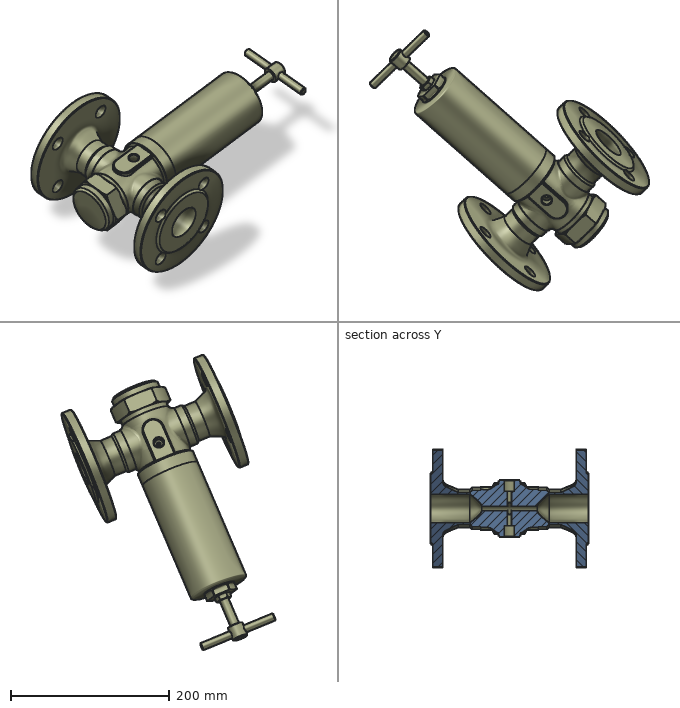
import cadquery as cq
import math


FACE_TO_FACE = 200.0
FLANGE_DIAMETER = 150.0
FLANGE_THICKNESS = 13.0
FLANGE_EDGE_CHAMFER = 1.0
RAISED_FACE_DIAMETER = 88.0
RAISED_FACE_HEIGHT = 3.0
BOLT_CIRCLE_DIAMETER = 110.0
BOLT_HOLE_DIAMETER = 18.0
BOLT_COUNT = 4
NECK_RADIUS = 24.15
HUB_START_X = 65.0
HUB_RADIUS = 32.2
HUB_FILLET = 6.4
PORT_RADIUS = 21.55
BORE_RADIUS = 12.5
BORE_TAPER_LENGTH = 15.0

BODY_HALF_LENGTH = 50.0
WELD_CHAMFER_LENGTH = 3.0
SPIGOT_RADIUS = 26.5
ARM_RADIUS = 27.2
ARM_HALF_LENGTH = 36.6
ARM_FILLET = 5.0
CASTING_ALLOWANCE = 15.0
BARREL_BOTTOM_Y = -30.5
BARREL_LOWER_RADIUS = 32.0
BARREL_TAPER_LOW_Y = -20.0
BARREL_TAPER_HIGH_Y = 13.0
BARREL_UPPER_RADIUS = 34.5
COLLAR_BOTTOM_Y = 34.0
COLLAR_TOP_Y = 49.5
COLLAR_RADIUS = 38.0
COLLAR_BLEND = 2.5

PAD_WIDTH = 28.0
PAD_FLAT_HEIGHT = 36.0
PAD_END_CENTER_Y = -5.5
PAD_EDGE_CHAMFER = 1.5
GAUGE_Y = 12.3
GAUGE_PORT_RADIUS = 6.0
GAUGE_PORT_DEPTH = 14.0
GAUGE_PORT_CHAMFER = 1.0
GAUGE_PILOT_RADIUS = 2.5

CAP_RADIUS = 31.5
CAP_HEX_TOP_Y = -37.0
CAP_HEX_BOTTOM_Y = -57.0
CAP_BOTTOM_Y = -68.0
CAP_HEX_ACROSS_FLATS = 65.0
CAP_HEX_FACE_RADIUS = 34.8
CAP_CHAMFER = 3.0

BONNET_RADIUS = COLLAR_RADIUS
BONNET_TOP_Y = 208.0
BONNET_FILLET = 2.5
BOSS_ACROSS_FLATS = 36.0
BOSS_RADIUS = 20.5
BOSS_TOP_Y = 217.9
BOSS_COLLAR_HEIGHT = 1.0
BOSS_FLAT_FILLET = 2.5

NUT_ACROSS_FLATS = 18.0
NUT_FACE_RADIUS = NUT_ACROSS_FLATS / 2
NUT_TOP_Y = 224.3
SPINDLE_RADIUS = 6.0
SPINDLE_BOTTOM_Y = BONNET_TOP_Y
HEAD_RADIUS = 10.0
HEAD_BOTTOM_Y = 260.0
HEAD_TOP_Y = 277.6
HEAD_CHAMFER = 1.0
BAR_Y = 269.0
BAR_RADIUS = 5.0
BAR_LENGTH = 100.0
BAR_CHAMFER = 1.0

HEX_CHAMFER_ANGLE = math.radians(30)


def turned_about_y(points):
    """Solid of revolution about Y from (radius, y) points."""
    return cq.Workplane("XY").polyline(points).close().revolve(360, (0, 0), (0, 1))


def turned_about_x(points):
    """Solid of revolution about X from (x, radius) points."""
    return cq.Workplane("XY").polyline(points).close().revolve(360, (0, 0), (1, 0))


def rod_along_y(radius, low_y, high_y):
    return cq.Workplane("XZ", origin=(0, high_y, 0)).circle(radius).extrude(high_y - low_y)


def rod_along_z(radius, y, low_z, high_z):
    return cq.Workplane("XY", origin=(0, y, low_z)).circle(radius).extrude(high_z - low_z)


def rod_along_x(radius, y, length):
    return cq.Workplane("YZ").center(y, 0).circle(radius).extrude(length / 2, both=True)


def hexagon_along_y(across_flats, low_y, high_y):
    """Hexagonal prism with two corners on the X axis."""
    across_corners = across_flats / math.cos(math.pi / 6)
    sketch = cq.Workplane("XZ", origin=(0, high_y, 0)).polygon(6, across_corners)
    return sketch.extrude(high_y - low_y)


def chamfered_hexagon_along_y(across_flats, face_radius, low_y, high_y, chamfer_low=True):
    """Hexagonal prism whose corners are turned down to face_radius at the top and, if asked, the bottom."""
    corner_radius = across_flats / 2 / math.cos(math.pi / 6)
    drop = (corner_radius - face_radius) * math.tan(HEX_CHAMFER_ANGLE)
    low_radius = face_radius if chamfer_low else corner_radius
    envelope = turned_about_y([
        (0, low_y),
        (low_radius, low_y),
        (corner_radius, low_y + drop),
        (corner_radius, high_y - drop),
        (face_radius, high_y),
        (0, high_y),
    ])
    return hexagon_along_y(across_flats, low_y, high_y).intersect(envelope)


def build_casting():
    """Barrel and arms, blended while they are still longer than the machined body."""
    rough_bottom_y = BARREL_BOTTOM_Y - CASTING_ALLOWANCE
    barrel = (
        cq.Workplane("XY")
        .moveTo(0, rough_bottom_y)
        .lineTo(BARREL_LOWER_RADIUS, rough_bottom_y)
        .lineTo(BARREL_LOWER_RADIUS, BARREL_TAPER_LOW_Y)
        .spline(
            [(BARREL_UPPER_RADIUS, BARREL_TAPER_HIGH_Y)],
            tangents=[(0, 1), (0, 1)],
            includeCurrent=True,
        )
        .lineTo(BARREL_UPPER_RADIUS, COLLAR_TOP_Y)
        .lineTo(0, COLLAR_TOP_Y)
        .close()
        .revolve(360, (0, 0), (0, 1))
    )
    arms = rod_along_x(ARM_RADIUS, 0, 2 * (ARM_HALF_LENGTH + CASTING_ALLOWANCE))
    casting = barrel.union(arms).edges("not(%CIRCLE or %LINE)").fillet(ARM_FILLET)
    kept_height = COLLAR_BOTTOM_Y - BARREL_BOTTOM_Y
    kept = cq.Workplane("XY").box(2 * ARM_HALF_LENGTH, kept_height, 4 * ARM_RADIUS)
    return casting.intersect(kept.translate((0, BARREL_BOTTOM_Y + kept_height / 2, 0)))


def build_gauge_pads():
    """Flat pads on +Z and -Z, running from a round lower end up to the collar."""
    pad_length = COLLAR_BOTTOM_Y - PAD_END_CENTER_Y
    middle_y = PAD_END_CENTER_Y + pad_length / 2
    pads = (
        cq.Workplane("XY")
        .rect(PAD_WIDTH, pad_length)
        .extrude(PAD_FLAT_HEIGHT, both=True)
        .translate((0, middle_y, 0))
    )
    round_end = rod_along_z(PAD_WIDTH / 2, PAD_END_CENTER_Y, -PAD_FLAT_HEIGHT, PAD_FLAT_HEIGHT)
    pads = pads.union(round_end)
    return pads.faces("<Z or >Z").chamfer(PAD_EDGE_CHAMFER)


def build_gauge_ports():
    """Cutter: a threaded-port recess in each pad and the pilot hole that joins them."""
    ports = rod_along_z(GAUGE_PILOT_RADIUS, GAUGE_Y, -PAD_FLAT_HEIGHT, PAD_FLAT_HEIGHT)
    port_floor_z = PAD_FLAT_HEIGHT - GAUGE_PORT_DEPTH
    mouth_z = PAD_FLAT_HEIGHT - GAUGE_PORT_CHAMFER
    mouth_radius = GAUGE_PORT_RADIUS + GAUGE_PORT_CHAMFER
    recess = (
        cq.Workplane("XZ", origin=(0, GAUGE_Y, 0))
        .moveTo(0, port_floor_z)
        .lineTo(GAUGE_PORT_RADIUS, port_floor_z)
        .lineTo(GAUGE_PORT_RADIUS, mouth_z)
        .lineTo(mouth_radius, PAD_FLAT_HEIGHT)
        .lineTo(0, PAD_FLAT_HEIGHT)
        .close()
        .revolve(360, (0, 0), (0, 1))
    )
    return ports.union(recess).union(recess.mirror("XY"))


def build_body():
    blend_bottom_y = COLLAR_BOTTOM_Y - COLLAR_BLEND
    collar = turned_about_y([
        (0, blend_bottom_y),
        (BARREL_UPPER_RADIUS, blend_bottom_y),
        (BARREL_UPPER_RADIUS + COLLAR_BLEND, COLLAR_BOTTOM_Y),
        (COLLAR_RADIUS, COLLAR_BOTTOM_Y),
        (COLLAR_RADIUS, COLLAR_TOP_Y),
        (0, COLLAR_TOP_Y),
    ])
    spigots = turned_about_x([
        (-BODY_HALF_LENGTH, 0),
        (-BODY_HALF_LENGTH, NECK_RADIUS),
        (WELD_CHAMFER_LENGTH - BODY_HALF_LENGTH, SPIGOT_RADIUS),
        (BODY_HALF_LENGTH - WELD_CHAMFER_LENGTH, SPIGOT_RADIUS),
        (BODY_HALF_LENGTH, NECK_RADIUS),
        (BODY_HALF_LENGTH, 0),
    ])
    body = build_casting().union(collar).union(spigots).union(build_gauge_pads())
    bore = turned_about_x([
        (-BODY_HALF_LENGTH, 0),
        (-BODY_HALF_LENGTH, PORT_RADIUS),
        (BORE_TAPER_LENGTH - BODY_HALF_LENGTH, BORE_RADIUS),
        (BODY_HALF_LENGTH - BORE_TAPER_LENGTH, BORE_RADIUS),
        (BODY_HALF_LENGTH, PORT_RADIUS),
        (BODY_HALF_LENGTH, 0),
    ])
    return body.cut(bore).cut(build_gauge_ports())


def build_flange(side):
    """Weld-neck flange; side is 1 for the +X end and -1 for the -X end."""
    face_x = FACE_TO_FACE / 2
    front_x = face_x - RAISED_FACE_HEIGHT
    back_x = front_x - FLANGE_THICKNESS
    rim_radius = FLANGE_DIAMETER / 2
    raised_radius = RAISED_FACE_DIAMETER / 2
    flange = turned_about_x([
        (BODY_HALF_LENGTH, PORT_RADIUS),
        (BODY_HALF_LENGTH, NECK_RADIUS),
        (HUB_START_X, NECK_RADIUS),
        (back_x, HUB_RADIUS),
        (back_x, rim_radius - FLANGE_EDGE_CHAMFER),
        (back_x + FLANGE_EDGE_CHAMFER, rim_radius),
        (front_x - FLANGE_EDGE_CHAMFER, rim_radius),
        (front_x, rim_radius - FLANGE_EDGE_CHAMFER),
        (front_x, raised_radius + RAISED_FACE_HEIGHT),
        (face_x, raised_radius),
        (face_x, PORT_RADIUS),
    ])
    hub_corner = cq.selectors.RadiusNthSelector(0)
    at_back = cq.selectors.BoxSelector(
        (back_x - 1, -HUB_RADIUS - 1, -HUB_RADIUS - 1), (back_x + 1, HUB_RADIUS + 1, HUB_RADIUS + 1)
    )
    flange = flange.edges(at_back).edges(hub_corner).fillet(HUB_FILLET)
    bolt_holes = (
        cq.Workplane("YZ", origin=(back_x, 0, 0))
        .polarArray(BOLT_CIRCLE_DIAMETER / 2, 45, 360, BOLT_COUNT)
        .circle(BOLT_HOLE_DIAMETER / 2)
        .extrude(FLANGE_THICKNESS + RAISED_FACE_HEIGHT)
    )
    flange = flange.cut(bolt_holes)
    return flange if side > 0 else flange.mirror("YZ")


def build_bottom_cap():
    plug = rod_along_y(CAP_RADIUS, CAP_BOTTOM_Y, BARREL_BOTTOM_Y)
    plug = plug.faces("<Y").edges().chamfer(CAP_CHAMFER)
    hexagon = chamfered_hexagon_along_y(
        CAP_HEX_ACROSS_FLATS, CAP_HEX_FACE_RADIUS, CAP_HEX_BOTTOM_Y, CAP_HEX_TOP_Y
    )
    return plug.union(hexagon)


def build_bonnet():
    shell = rod_along_y(BONNET_RADIUS, COLLAR_TOP_Y, BONNET_TOP_Y)
    shell = shell.faces(">Y").edges().fillet(BONNET_FILLET)
    boss = rod_along_y(BOSS_RADIUS, BONNET_TOP_Y, BOSS_TOP_Y)
    flat_floor_y = BONNET_TOP_Y + BOSS_COLLAR_HEIGHT
    flat_cutter = (
        cq.Workplane("XY")
        .box(2 * BOSS_RADIUS, BOSS_TOP_Y - flat_floor_y, BOSS_RADIUS, centered=(True, False, False))
        .edges("|X and <Y and <Z")
        .fillet(BOSS_FLAT_FILLET)
        .translate((0, flat_floor_y, BOSS_ACROSS_FLATS / 2))
    )
    for flat in range(6):
        boss = boss.cut(flat_cutter.rotate((0, 0, 0), (0, 1, 0), 60 * flat))
    spindle_hole = rod_along_y(SPINDLE_RADIUS, SPINDLE_BOTTOM_Y, BOSS_TOP_Y)
    return shell.union(boss).cut(spindle_hole)


def build_lock_nut():
    nut = chamfered_hexagon_along_y(
        NUT_ACROSS_FLATS, NUT_FACE_RADIUS, BOSS_TOP_Y, NUT_TOP_Y, chamfer_low=False
    )
    return nut.cut(rod_along_y(SPINDLE_RADIUS, BOSS_TOP_Y, NUT_TOP_Y))


def build_spindle():
    head = rod_along_y(HEAD_RADIUS, HEAD_BOTTOM_Y, HEAD_TOP_Y).faces(">Y").edges().chamfer(HEAD_CHAMFER)
    rod = rod_along_y(SPINDLE_RADIUS, SPINDLE_BOTTOM_Y, HEAD_BOTTOM_Y)
    bar_hole = rod_along_x(BAR_RADIUS, BAR_Y, 2 * HEAD_RADIUS)
    return rod.union(head).cut(bar_hole)


def build_handle_bar():
    return rod_along_x(BAR_RADIUS, BAR_Y, BAR_LENGTH).faces("<X or >X").edges().chamfer(BAR_CHAMFER)


body = build_body()
flanges = [build_flange(side) for side in (-1, 1)]
bottom_cap = build_bottom_cap()
bonnet = build_bonnet()
lock_nut = build_lock_nut()
spindle = build_spindle()
handle_bar = build_handle_bar()

result = cq.Compound.makeCompound([
    body.val(),
    *[flange.val() for flange in flanges],
    bottom_cap.val(),
    bonnet.val(),
    lock_nut.val(),
    spindle.val(),
    handle_bar.val(),
])